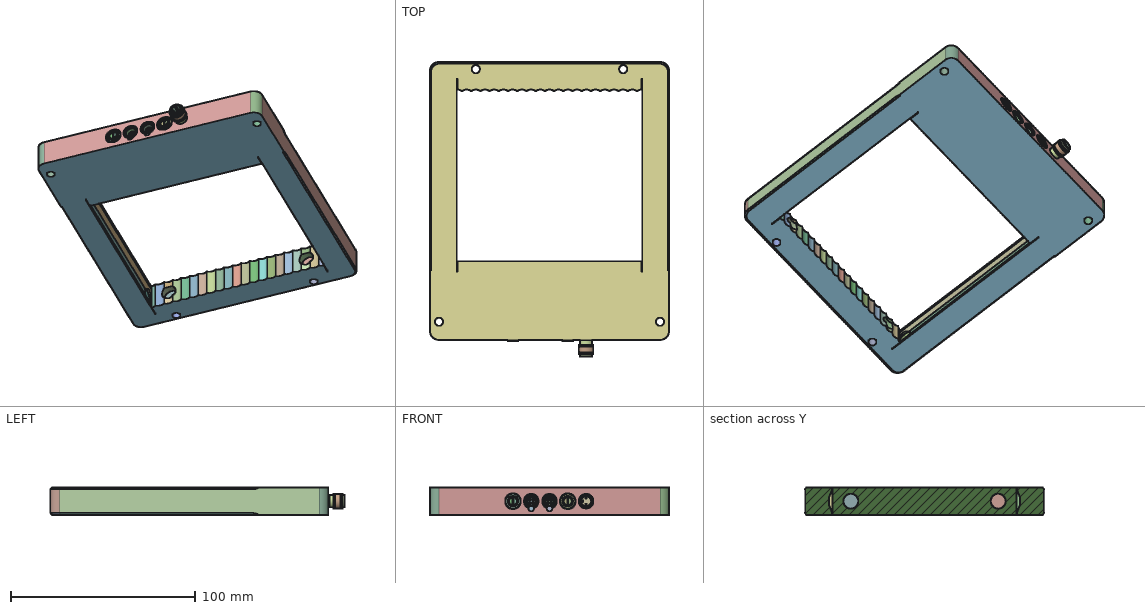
import cadquery as cq
import math

BODY_WIDTH = 130.0
BODY_DEPTH = 151.0
BODY_HEIGHT = 15.0
CORNER_RADIUS = 5.0
HALF_WIDTH = BODY_WIDTH / 2
HALF_HEIGHT = BODY_HEIGHT / 2

BEVEL_HEIGHT = 1.1
BEVEL_SIDE = 0.6
BEVEL_BACK = 1.1
BEVEL_FRONT = 41.0
RUNOUT_RADIUS = 5.0
RUNOUT_LENGTH = math.sqrt(RUNOUT_RADIUS**2 - (RUNOUT_RADIUS - BEVEL_HEIGHT) ** 2)

WINDOW_WIDTH = 100.0
WINDOW_FRONT = 42.9
WINDOW_BACK = 135.0
SCALLOP_COUNT = 20
SCALLOP_RADIUS = 4.0
SCALLOP_PITCH = WINDOW_WIDTH / SCALLOP_COUNT
SCALLOP_DEPTH = SCALLOP_RADIUS - math.sqrt(SCALLOP_RADIUS**2 - (SCALLOP_PITCH / 2) ** 2)

RAIL_FRONT = 37.1
RAIL_BACK = 141.8
RELIEF_DEPTH = 0.3
LIP_HEIGHT = 2.0
GROOVE_DEPTH = 1.5
GROOVE_FLANK_HEIGHT = 3.5

MOUNT_DIAMETER = 4.3
BACK_MOUNT_X = 40.0
BACK_MOUNT_Y = 147.0
FRONT_MOUNT_X = 60.0
FRONT_MOUNT_Y = 10.0

WALL_HOLE_DIAMETER = 8.0
WALL_HOLE_DEPTH = 4.8
SIDE_HOLE_Y = 134.4
SIDE_HOLE_DEPTH = 2.2

PANEL_PITCH = 10.0
KNOB_POSITIONS = (-2, 1)
SOCKET_POSITIONS = (-1, 0)
PLUG_POSITION = 2

KNOB_RECESS_DIAMETER = 8.6
KNOB_RECESS_DEPTH = 0.8
KNOB_RING_DIAMETER = 8.0
KNOB_HEAD_DIAMETER = 5.8
KNOB_HEAD_PROTRUSION = 0.6
KNOB_DISH_DIAMETER = 4.3
KNOB_DISH_DEPTH = 0.5
KNOB_SLOT_WIDTH = 0.6
KNOB_SLOT_DEPTH = 1.1

SOCKET_RIM_DIAMETER = 8.0
SOCKET_RIM_DEPTH = 0.5
SOCKET_STEP_DIAMETER = 6.9
SOCKET_STEP_DEPTH = 1.0
SOCKET_BORE_DIAMETER = 5.8
SOCKET_BORE_DEPTH = 4.8
SOCKET_CORE_DIAMETER = 4.3
SOCKET_CORE_RECESS = 2.5
SOCKET_CONTACT_RADIUS = 1.3
SOCKET_CONTACT_DEPTH = 1.6
KEYWAY_DIAMETER = 3.0
KEYWAY_DROP = 4.0
KEYWAY_DEPTH = 1.3

PLUG_LENGTH = 9.0
PLUG_NECK_DIAMETER = 6.7
PLUG_NECK_LENGTH = 2.5
PLUG_COLLAR_DIAMETER = 8.0
PLUG_COLLAR_LENGTH = 5.1
COLLAR_GROOVE_DIAMETER = 7.4
COLLAR_GROOVE_WIDTH = 0.6
COLLAR_GROOVE_INSET = 0.5
PLUG_BORE_DIAMETER = 5.5
PLUG_BORE_DEPTH = 4.8
PLUG_PIN_RADIUS = 2.0
PLUG_PIN_LENGTH = 3.8
CONTACT_DIAMETER = 1.0


def outline(z, side_inset, back_inset):
    """Rounded housing outline at height z, drawn in from the sides and the back."""
    half = HALF_WIDTH - side_inset
    back = BODY_DEPTH - back_inset
    front_radius = CORNER_RADIUS
    back_radius = CORNER_RADIUS - side_inset
    diagonal = 1 - math.sqrt(0.5)
    front_cut = front_radius * diagonal
    back_cut = back_radius * diagonal
    return (
        cq.Workplane("XY", origin=(0, 0, z))
        .moveTo(-half + front_radius, 0)
        .lineTo(half - front_radius, 0)
        .threePointArc((half - front_cut, front_cut), (half, front_radius))
        .lineTo(half, back - back_radius)
        .threePointArc((half - back_cut, back - back_cut), (half - back_radius, back))
        .lineTo(-half + back_radius, back)
        .threePointArc((-half + back_cut, back - back_cut), (-half, back - back_radius))
        .lineTo(-half, front_radius)
        .threePointArc((-half + front_cut, front_cut), (-half + front_radius, 0))
        .close()
    )


def make_body():
    """Flat housing with bevelled sides and back and a square-edged front part."""
    shoulder = HALF_HEIGHT - BEVEL_HEIGHT
    full_prism = outline(-HALF_HEIGHT, 0, 0).extrude(BODY_HEIGHT)
    runout_front = BEVEL_FRONT - RUNOUT_LENGTH
    arc_y = BEVEL_FRONT - RUNOUT_LENGTH / 2
    arc_z = shoulder + RUNOUT_RADIUS - math.sqrt(RUNOUT_RADIUS**2 - (RUNOUT_LENGTH / 2) ** 2)
    front_part = (
        cq.Workplane("YZ", origin=(-HALF_WIDTH, 0, 0))
        .moveTo(0, -HALF_HEIGHT)
        .lineTo(runout_front, -HALF_HEIGHT)
        .threePointArc((arc_y, -arc_z), (BEVEL_FRONT, -shoulder))
        .lineTo(BEVEL_FRONT, shoulder)
        .threePointArc((arc_y, arc_z), (runout_front, HALF_HEIGHT))
        .lineTo(0, HALF_HEIGHT)
        .close()
        .extrude(BODY_WIDTH)
        .intersect(full_prism)
    )
    body = outline(-shoulder, 0, 0).extrude(2 * shoulder)
    for side in (-1, 1):
        wide = outline(side * shoulder, 0, 0).wires().val()
        narrow = outline(side * HALF_HEIGHT, BEVEL_SIDE, BEVEL_BACK).wires().val()
        body = body.union(cq.Workplane(cq.Solid.makeLoft([wide, narrow], True)))
    return body.union(front_part)


def make_window():
    """Through window whose back wall is a row of scallops, a half one at each end."""
    half = WINDOW_WIDTH / 2
    crest = WINDOW_BACK
    floor = crest + SCALLOP_DEPTH
    sketch = (
        cq.Workplane("XY", origin=(0, 0, -HALF_HEIGHT))
        .moveTo(-half, floor)
        .lineTo(-half, WINDOW_FRONT)
        .lineTo(half, WINDOW_FRONT)
        .lineTo(half, floor)
    )
    quarter = SCALLOP_PITCH / 4
    arc_centre = floor - SCALLOP_RADIUS
    half_scallop_mid = arc_centre + math.sqrt(SCALLOP_RADIUS**2 - quarter**2)
    sketch = sketch.threePointArc((half - quarter, half_scallop_mid), (half - 2 * quarter, crest))
    for i in range(1, SCALLOP_COUNT):
        centre = half - i * SCALLOP_PITCH
        sketch = sketch.threePointArc((centre, floor), (centre - SCALLOP_PITCH / 2, crest))
    sketch = sketch.threePointArc((-half + quarter, half_scallop_mid), (-half, floor))
    return sketch.close().extrude(BODY_HEIGHT)


def make_rail_cut(side):
    """Relief and groove along one side wall of the window (side is -1 or 1)."""
    edge = side * WINDOW_WIDTH / 2
    wall = edge + side * RELIEF_DEPTH
    groove_floor = wall + side * GROOVE_DEPTH
    groove_mouth = HALF_HEIGHT - LIP_HEIGHT
    groove_flat = groove_mouth - GROOVE_FLANK_HEIGHT
    return (
        cq.Workplane("XZ", origin=(0, RAIL_BACK, 0))
        .polyline(
            [
                (edge, -HALF_HEIGHT),
                (wall, -HALF_HEIGHT),
                (wall, -groove_mouth),
                (groove_floor, -groove_flat),
                (groove_floor, groove_flat),
                (wall, groove_mouth),
                (wall, HALF_HEIGHT),
                (edge, HALF_HEIGHT),
            ]
        )
        .close()
        .extrude(RAIL_BACK - RAIL_FRONT)
    )


def rod(x, z, diameter, start, end):
    """Cylinder along Y from start to end."""
    return cq.Workplane("XZ", origin=(x, end, z)).circle(diameter / 2).extrude(end - start)


def drill_housing(body):
    """Vertical mounting holes and the blind holes in the back and side walls of the window."""
    mounts = [(s * BACK_MOUNT_X, BACK_MOUNT_Y) for s in (-1, 1)]
    mounts += [(s * FRONT_MOUNT_X, FRONT_MOUNT_Y) for s in (-1, 1)]
    drills = (
        cq.Workplane("XY", origin=(0, 0, -HALF_HEIGHT))
        .pushPoints(mounts)
        .circle(MOUNT_DIAMETER / 2)
        .extrude(BODY_HEIGHT)
    )
    body = body.cut(drills)
    for side in (-1, 1):
        end = WINDOW_BACK + WALL_HOLE_DEPTH
        body = body.cut(rod(side * BACK_MOUNT_X, 0, WALL_HOLE_DIAMETER, WINDOW_BACK, end))
        side_hole = (
            cq.Workplane("YZ", origin=(side * WINDOW_WIDTH / 2, SIDE_HOLE_Y, 0))
            .circle(WALL_HOLE_DIAMETER / 2)
            .extrude(side * SIDE_HOLE_DEPTH)
        )
        body = body.cut(side_hole)
    return body


def contact_points(x, radius, angles):
    """Contact places around (x, 0) in the XZ plane, angles in degrees."""
    turns = [math.radians(a) for a in angles]
    return [(x + radius * math.cos(t), radius * math.sin(t)) for t in turns]


def add_knob(body, x):
    """Flush ring in a round recess, with a raised head that has a dish and a screw slot."""
    head_front = -KNOB_HEAD_PROTRUSION
    dish_floor = head_front + KNOB_DISH_DEPTH
    slot = cq.Workplane("XY").box(
        KNOB_SLOT_WIDTH, KNOB_SLOT_DEPTH, KNOB_DISH_DIAMETER, centered=(True, False, True)
    )
    body = body.cut(rod(x, 0, KNOB_RECESS_DIAMETER, 0, KNOB_RECESS_DEPTH))
    body = body.union(rod(x, 0, KNOB_RING_DIAMETER, 0, KNOB_RECESS_DEPTH))
    body = body.union(rod(x, 0, KNOB_HEAD_DIAMETER, head_front, KNOB_RECESS_DEPTH))
    body = body.cut(rod(x, 0, KNOB_DISH_DIAMETER, head_front, dish_floor))
    return body.cut(slot.translate((x, dish_floor, 0)))


def add_socket(body, x):
    """Stepped bore with a round keyway below and a four-contact core inside."""
    contact_end = SOCKET_CORE_RECESS + SOCKET_CONTACT_DEPTH
    body = body.cut(rod(x, 0, SOCKET_RIM_DIAMETER, 0, SOCKET_RIM_DEPTH))
    body = body.cut(rod(x, 0, SOCKET_STEP_DIAMETER, 0, SOCKET_STEP_DEPTH))
    body = body.cut(rod(x, -KEYWAY_DROP, KEYWAY_DIAMETER, 0, KEYWAY_DEPTH))
    body = body.cut(rod(x, 0, SOCKET_BORE_DIAMETER, 0, SOCKET_BORE_DEPTH))
    body = body.union(rod(x, 0, SOCKET_CORE_DIAMETER, SOCKET_CORE_RECESS, SOCKET_BORE_DEPTH))
    for cx, cz in contact_points(x, SOCKET_CONTACT_RADIUS, (45, 135, 225, 315)):
        body = body.cut(rod(cx, cz, CONTACT_DIAMETER, SOCKET_CORE_RECESS, contact_end))
    return body


def add_plug(body, x):
    """Round plug with a grooved collar and three pins in its bore."""
    tip = -PLUG_LENGTH
    collar_back = -PLUG_NECK_LENGTH
    collar_front = collar_back - PLUG_COLLAR_LENGTH
    bore_floor = tip + PLUG_BORE_DEPTH
    body = body.union(rod(x, 0, PLUG_NECK_DIAMETER, tip, 0))
    collar = rod(x, 0, PLUG_COLLAR_DIAMETER, collar_front, collar_back)
    groove_starts = (
        collar_front + COLLAR_GROOVE_INSET,
        collar_back - COLLAR_GROOVE_INSET - COLLAR_GROOVE_WIDTH,
    )
    for start in groove_starts:
        end = start + COLLAR_GROOVE_WIDTH
        ring = rod(x, 0, PLUG_COLLAR_DIAMETER, start, end)
        collar = collar.cut(ring.cut(rod(x, 0, COLLAR_GROOVE_DIAMETER, start, end)))
    body = body.union(collar)
    body = body.cut(rod(x, 0, PLUG_BORE_DIAMETER, tip, bore_floor))
    for px, pz in contact_points(x, PLUG_PIN_RADIUS, (90, 180, 270)):
        body = body.union(rod(px, pz, CONTACT_DIAMETER, bore_floor - PLUG_PIN_LENGTH, bore_floor))
    return body


result = make_body().cut(make_window())
for rail_side in (-1, 1):
    result = result.cut(make_rail_cut(rail_side))
result = drill_housing(result)
for position in KNOB_POSITIONS:
    result = add_knob(result, position * PANEL_PITCH)
for position in SOCKET_POSITIONS:
    result = add_socket(result, position * PANEL_PITCH)
result = add_plug(result, PLUG_POSITION * PANEL_PITCH)